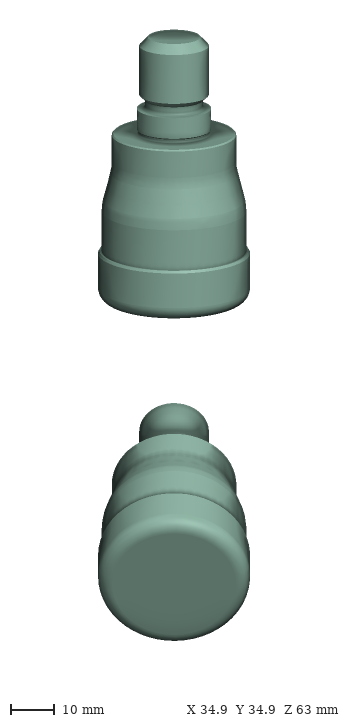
import cadquery as cq
import math

foot_radius = 17.45
foot_fillet = 3.2
foot_top_z = 12.05
foot_chamfer_width = 0.3
foot_chamfer_height = 0.55
barrel_radius = 16.65
barrel_top_z = 21.55
shoulder_radius = 14.3
shoulder_bottom_z = 33.4
housing_top_z = 40.0
shoulder_chamfer = 0.3
blend_radius = 10.7

stud_top_z = 63.0
neck_radius = 8.1
neck_top_z = 40.75
neck_fillet = 0.45
collar_radius = 8.535
collar_bottom_z = 41.1
collar_top_z = 46.0
groove_radius = 6.645
groove_top_z = 48.1
groove_fillet = 0.75
shank_radius = 8.0
shank_bottom_z = 49.25
tip_radius = 6.05
tip_chamfer_height = 2.1

taper_width = barrel_radius - shoulder_radius
taper_height = shoulder_bottom_z - barrel_top_z
taper_length = math.sqrt(taper_height**2 + taper_width**2 - 4 * blend_radius * taper_width)
taper_angle = 2 * math.atan(taper_width / (taper_height + taper_length))


def blend_offset(angle):
    """Radial and axial travel along a blend arc that starts on a vertical wall."""
    return blend_radius * (1 - math.cos(angle)), blend_radius * math.sin(angle)


def revolve_profile(profile):
    """Turn a closed half profile on the XZ plane around the Z axis."""
    return profile.close().revolve(360, (0, 0, 0), (0, 1, 0))


def make_housing():
    mid_x, mid_z = blend_offset(taper_angle / 2)
    end_x, end_z = blend_offset(taper_angle)
    profile = (
        cq.Workplane("XZ")
        .lineTo(foot_radius, 0)
        .lineTo(foot_radius, foot_top_z - foot_chamfer_height)
        .lineTo(foot_radius - foot_chamfer_width, foot_top_z)
        .lineTo(barrel_radius, foot_top_z)
        .lineTo(barrel_radius, barrel_top_z)
        .threePointArc(
            (barrel_radius - mid_x, barrel_top_z + mid_z),
            (barrel_radius - end_x, barrel_top_z + end_z),
        )
        .lineTo(shoulder_radius + end_x, shoulder_bottom_z - end_z)
        .threePointArc(
            (shoulder_radius + mid_x, shoulder_bottom_z - mid_z),
            (shoulder_radius, shoulder_bottom_z),
        )
        .lineTo(shoulder_radius, housing_top_z - shoulder_chamfer)
        .lineTo(shoulder_radius - shoulder_chamfer, housing_top_z)
        .lineTo(0, housing_top_z)
    )
    return revolve_profile(profile).faces("<Z").edges().fillet(foot_fillet)


def make_stud():
    profile = (
        cq.Workplane("XZ")
        .moveTo(0, housing_top_z)
        .lineTo(neck_radius + neck_fillet, housing_top_z)
        .radiusArc((neck_radius, housing_top_z + neck_fillet), neck_fillet)
        .lineTo(neck_radius, neck_top_z)
        .lineTo(collar_radius, collar_bottom_z)
        .lineTo(collar_radius, collar_top_z)
        .lineTo(groove_radius + groove_fillet, collar_top_z)
        .radiusArc((groove_radius, collar_top_z + groove_fillet), groove_fillet)
        .lineTo(groove_radius, groove_top_z)
        .lineTo(shank_radius, shank_bottom_z)
        .lineTo(shank_radius, stud_top_z - tip_chamfer_height)
        .lineTo(tip_radius, stud_top_z)
        .lineTo(0, stud_top_z)
    )
    return revolve_profile(profile)


housing = make_housing()
stud = make_stud()

result = cq.Compound.makeCompound([housing.val(), stud.val()])